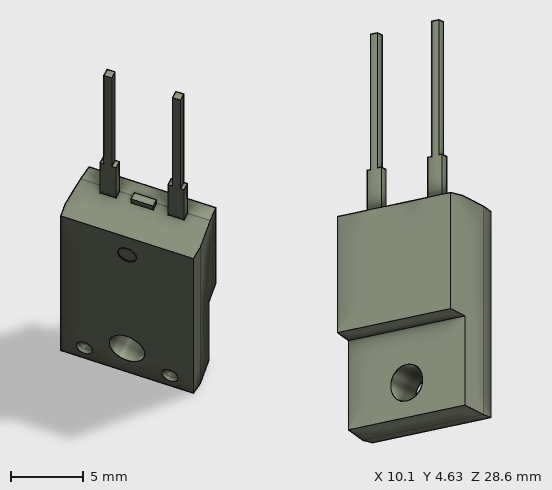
import cadquery as cq
import math


HOUSING_WIDTH = 10.1
HOUSING_DEPTH = 4.63
WIDEST_Y = 1.03
PARTING_Y = 3.35
HOUSING_TOP = 15.4
STEP_Y = 3.08
STEP_Z = 6.68
DRAFT = math.tan(math.radians(5))

SCREW_HOLE_DIAMETER = 2.65
SCREW_HOLE_Z = 2.7
DIMPLE_DIAMETER = 1.2
DIMPLE_WALL_DEPTH = 0.37
DIMPLE_X = 3.2
DIMPLE_Z = 1.23

MARK_DIAMETER = 1.4
MARK_DEPTH = 0.09
MARK_Z = 13.1

SHEET_THICKNESS = 0.6
EMBEDDED_LENGTH = 1.15
LEAD_X = 2.55
LEAD_WIDTH = 1.2
LEAD_SHOULDER_Z = 18.7
LEAD_TIP_X = 2.57
LEAD_TIP_WIDTH = 0.6
LEAD_TOP = 28.55
TAB_WIDTH = 1.65
TAB_TOP = 15.75

SHEET_Y = PARTING_Y - SHEET_THICKNESS
SHEET_BOTTOM = HOUSING_TOP - EMBEDDED_LENGTH


def sheet_strip(center_x, width, bottom, top):
    """Upright strip of the lead sheet."""
    return (
        cq.Workplane("XY")
        .box(width, SHEET_THICKNESS, top - bottom, centered=(True, False, False))
        .translate((center_x, SHEET_Y, bottom))
    )


def make_lead(side):
    """Wide root and narrow tip of one lead; side is -1 or 1."""
    root = sheet_strip(side * LEAD_X, LEAD_WIDTH, SHEET_BOTTOM, LEAD_SHOULDER_Z)
    tip = sheet_strip(side * LEAD_TIP_X, LEAD_TIP_WIDTH, LEAD_SHOULDER_Z, LEAD_TOP)
    return root.union(tip)


def make_tab():
    return sheet_strip(0, TAB_WIDTH, SHEET_BOTTOM, TAB_TOP)


def face_cylinder(diameter, center_x, center_z, depth):
    """Cylinder running into the part from the mounting face."""
    return (
        cq.Workplane("XZ")
        .center(center_x, center_z)
        .circle(diameter / 2)
        .extrude(-depth)
    )


def dimple_volume(center_x):
    """Short straight hole with a hemispherical bottom."""
    wall = face_cylinder(DIMPLE_DIAMETER, center_x, DIMPLE_Z, DIMPLE_WALL_DEPTH)
    bottom = cq.Workplane("XY").sphere(DIMPLE_DIAMETER / 2)
    return wall.union(bottom.translate((center_x, DIMPLE_WALL_DEPTH, DIMPLE_Z)))


def housing_block():
    """Common volume of the stepped side profile and the drafted plan profile."""
    side_profile = [
        (0, WIDEST_Y * DRAFT),
        (WIDEST_Y, 0),
        (STEP_Y, (STEP_Y - WIDEST_Y) * DRAFT),
        (STEP_Y, STEP_Z),
        (HOUSING_DEPTH, STEP_Z + (HOUSING_DEPTH - STEP_Y) * DRAFT),
        (HOUSING_DEPTH, HOUSING_TOP - (HOUSING_DEPTH - PARTING_Y) * DRAFT),
        (PARTING_Y, HOUSING_TOP),
        (0, HOUSING_TOP - PARTING_Y * DRAFT),
    ]
    half_width = HOUSING_WIDTH / 2
    front_half_width = half_width - WIDEST_Y * DRAFT
    back_half_width = half_width - (HOUSING_DEPTH - WIDEST_Y) * DRAFT
    plan_profile = [
        (-front_half_width, 0),
        (front_half_width, 0),
        (half_width, WIDEST_Y),
        (back_half_width, HOUSING_DEPTH),
        (-back_half_width, HOUSING_DEPTH),
        (-half_width, WIDEST_Y),
    ]
    side = cq.Workplane("YZ").polyline(side_profile).close().extrude(half_width, both=True)
    plan = cq.Workplane("XY").polyline(plan_profile).close().extrude(HOUSING_TOP)
    return side.intersect(plan)


def make_housing(embedded_bodies):
    """Drafted block with its hole, mark, dimples and a matching recess for each embedded body."""
    body = housing_block()
    body = body.cut(face_cylinder(SCREW_HOLE_DIAMETER, 0, SCREW_HOLE_Z, HOUSING_DEPTH))
    body = body.cut(face_cylinder(MARK_DIAMETER, 0, MARK_Z, MARK_DEPTH))
    for side in (-1, 1):
        body = body.cut(dimple_volume(side * DIMPLE_X))
    for embedded in embedded_bodies:
        body = body.cut(embedded)
    return body


leads = [make_lead(side) for side in (-1, 1)]
tab = make_tab()
housing = make_housing([*leads, tab])

result = cq.Compound.makeCompound(
    [housing.val(), *[lead.val() for lead in leads], tab.val()]
)